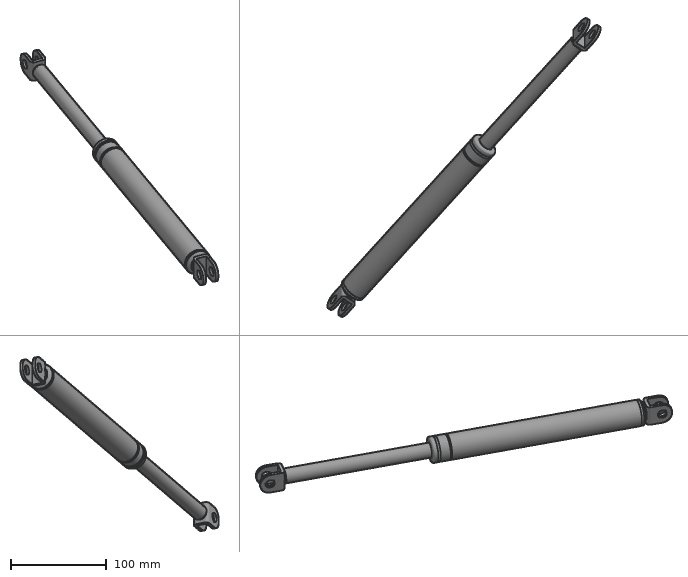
import cadquery as cq
import math

total_length = 447.0

fork_height = 23.2
fork_width = 17.5
fork_length = 27.3
fork_arm_thickness = 3.0
fork_base_thickness = 4.0
fork_tip_radius = 11.0
fork_bend_radius = 4.0
eye_diameter = 10.0
eye_offset = 10.7

rod_radius = 8.0
neck_radius = 6.5
rod_neck_length = 1.5

cylinder_radius = 14.1
cylinder_start = -37.0
cylinder_end = 195.0
mouth_fillet = 2.2
end_face_radius = 9.5
end_dome_length = 3.0
end_dome_bulge = 0.5
crimp_positions = (-30.5, 190.5)
crimp_half_width = 1.5
crimp_depth = 1.0
seam_position = -17.5
seam_width = 1.5
seam_depth = 1.0

tip = total_length / 2
fork_base = tip - fork_length
bore_depth = seam_position - cylinder_start


def cylinder_along_x(start, end, radius):
    return cq.Workplane("YZ").workplane(offset=start).circle(radius).extrude(end - start)


def make_fork():
    """U-shaped fork at the +X end, opening towards +X."""
    blank = (
        cq.Workplane("XY")
        .box(fork_length, fork_width, fork_height, centered=(False, True, True))
        .translate((fork_base, 0, 0))
        .edges("|Z and <X")
        .fillet(fork_bend_radius)
        .edges("|Y and >X")
        .fillet(fork_tip_radius)
    )
    slot = (
        cq.Workplane("XY")
        .box(fork_length, fork_width - 2 * fork_arm_thickness, fork_height, centered=(False, True, True))
        .translate((fork_base + fork_base_thickness, 0, 0))
    )

    eye = (
        cq.Workplane("XZ")
        .center(tip - eye_offset, 0)
        .circle(eye_diameter / 2)
        .extrude(fork_width, both=True)
    )
    return blank.cut(slot).cut(eye)


def make_barrel():
    """Solid barrel, rounded at the mouth and domed at the closed end."""
    dome_start = cylinder_end - end_dome_length
    dome_drop = cylinder_radius - end_face_radius
    chord_length = math.hypot(end_dome_length, dome_drop)
    dome_middle = (
        dome_start + end_dome_length / 2 + end_dome_bulge * dome_drop / chord_length,
        cylinder_radius - dome_drop / 2 + end_dome_bulge * end_dome_length / chord_length,
    )
    barrel = (
        cq.Workplane("XY")
        .moveTo(cylinder_start, 0)
        .lineTo(cylinder_start, cylinder_radius)
        .lineTo(dome_start, cylinder_radius)
        .threePointArc(dome_middle, (cylinder_end, end_face_radius))
        .lineTo(cylinder_end, 0)
        .close()
        .revolve(360, (0, 0, 0), (1, 0, 0))
    )
    return barrel.faces("<X").edges().fillet(mouth_fillet)


def make_crimp(position):
    """Ring with a round-bottomed section that cuts a crimp groove around the cylinder."""
    return (
        cq.Workplane("XY")
        .moveTo(position - crimp_half_width, cylinder_radius)
        .threePointArc(
            (position, cylinder_radius - crimp_depth),
            (position + crimp_half_width, cylinder_radius),
        )
        .close()
        .revolve(360, (0, 0, 0), (1, 0, 0))
    )


def make_seam():
    """Shallow square ring between the guide end and the tube."""
    start = seam_position - seam_width / 2
    end = seam_position + seam_width / 2
    inner = cylinder_along_x(start, end, cylinder_radius - seam_depth)
    return cylinder_along_x(start, end, cylinder_radius).cut(inner)


def make_rod():
    """Piston rod with its fork at the -X end."""
    shaft_start = -fork_base + rod_neck_length
    neck = cylinder_along_x(-fork_base, shaft_start, neck_radius)
    shaft = cylinder_along_x(shaft_start, seam_position, rod_radius)
    fork = make_fork().mirror("YZ")
    return shaft.union(neck).union(fork)


def make_cylinder():
    """Cylinder with a blind rod bore at -X and its fork at +X."""
    body = make_barrel()
    for position in crimp_positions:
        body = body.cut(make_crimp(position))
    body = body.cut(make_seam())
    neck = cylinder_along_x(cylinder_end, fork_base, rod_radius)
    body = body.union(neck).union(make_fork())
    bore = cylinder_along_x(cylinder_start, cylinder_start + bore_depth, rod_radius)
    return body.cut(bore)


rod = make_rod()
cylinder = make_cylinder()

result = cq.Compound.makeCompound([rod.val(), cylinder.val()])